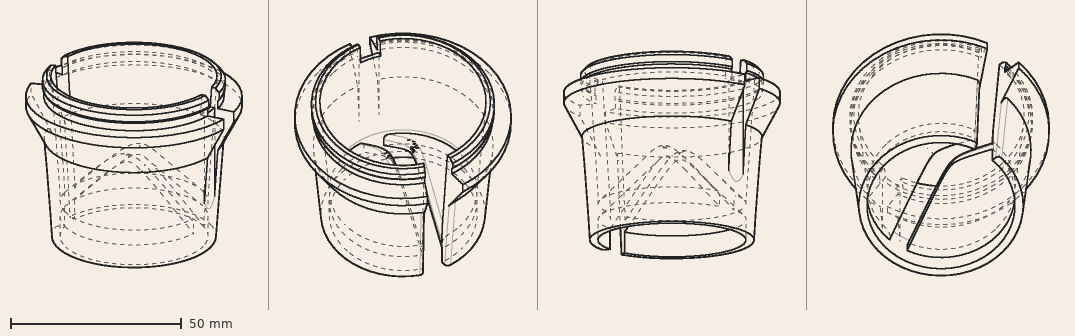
import cadquery as cq

height = 50.8
shoulder_z = 31.15
flange_bottom_z = 41.25
flange_top_z = 44.5
bead_bottom_z = 46.8
bead_full_z = 47.45
bead_top_z = 49.55
bore_break_z = 12.6

flange_radius = 31.7
body_bottom_radius = 24.1
body_top_radius = 26.4
neck_radius = 26.45
bead_radius = 26.85
lip_top_radius = 25.6
bore_top_radius = 24.35
bore_bottom_radius = 21.7

floor_rim_z = 11.0
floor_rise = bore_bottom_radius
floor_thickness = 4.7

slot_width = 6.35
slot_start_x = -21.8
mouth_x = -38.05
mouth_slope = 0.265
edge_round = 1.3

bridge_outer_x = 25.1

half_slot = slot_width / 2
half_mouth = half_slot + mouth_slope * (slot_start_x - mouth_x)


def revolve_profile(points):
    """Revolve an (r, z) outline about the Z axis."""
    return cq.Workplane("XZ").polyline(points).close().revolve(360, (0, 0, 0), (0, 1, 0))


def make_bore():
    upper = revolve_profile([
        (0, bore_break_z), (bore_bottom_radius, bore_break_z), (bore_top_radius, height), (0, height),
    ])
    lower = cq.Workplane("XY").circle(bore_bottom_radius).extrude(bore_break_z)
    return upper.union(lower)


def make_body():
    return revolve_profile([
        (0, 0), (body_bottom_radius, 0), (body_top_radius, shoulder_z), (0, shoulder_z),
    ])


def make_collar():
    """Flared flange and the neck with its snap bead."""
    return revolve_profile([
        (0, shoulder_z),
        (body_top_radius, shoulder_z),
        (flange_radius, flange_bottom_z),
        (flange_radius, flange_top_z),
        (neck_radius, flange_top_z),
        (neck_radius, bead_bottom_z),
        (bead_radius, bead_full_z),
        (bead_radius, bead_top_z),
        (lip_top_radius, height),
        (0, height),
    ])


def make_mouth():
    """Flared slot opening through the -X wall."""
    return (
        cq.Workplane("XY")
        .polyline([
            (0, -half_slot), (slot_start_x, -half_slot), (mouth_x, -half_mouth),
            (mouth_x, half_mouth), (slot_start_x, half_slot), (0, half_slot),
        ])
        .close()
        .extrude(height)
    )


def make_floor():
    """Conical floor split in two, with the upper edges along the slot rounded."""
    underside_z = floor_rim_z - floor_thickness
    cone = revolve_profile([
        (0, underside_z + floor_rise), (bore_bottom_radius, underside_z),
        (bore_bottom_radius, floor_rim_z), (0, floor_rim_z + floor_rise),
    ])
    slot = cq.Workplane("XY").box(2 * flange_radius, slot_width, 2 * height)
    upper_edges = cq.selectors.BoxSelector(
        (-0.65, -half_slot - 0.65, floor_rim_z + 0.3 * floor_rise),
        (0.65, half_slot + 0.65, floor_rim_z + floor_rise),
        boundingbox=False,
    )
    return cone.cut(slot).edges(upper_edges).fillet(edge_round)


def make_relief():
    """Clearance outside the bridge, and the notch through the lip above it."""
    block = cq.Workplane("XY").box(flange_radius, slot_width, height, centered=(False, True, False))
    outside = block.translate((bridge_outer_x, 0, 0))
    notch = block.translate((0, 0, flange_top_z))
    return outside.union(notch)


mouth = make_mouth()
mouth_edges = cq.selectors.BoxSelector(
    (-body_top_radius, -half_mouth, 0), (slot_start_x - 0.65, half_mouth, shoulder_z)
)
bore = make_bore()

shell = make_body().union(make_collar()).cut(mouth)
shell = shell.edges("not #Z").edges(mouth_edges).fillet(edge_round).cut(bore)
result = shell.cut(make_relief()).union(make_floor())